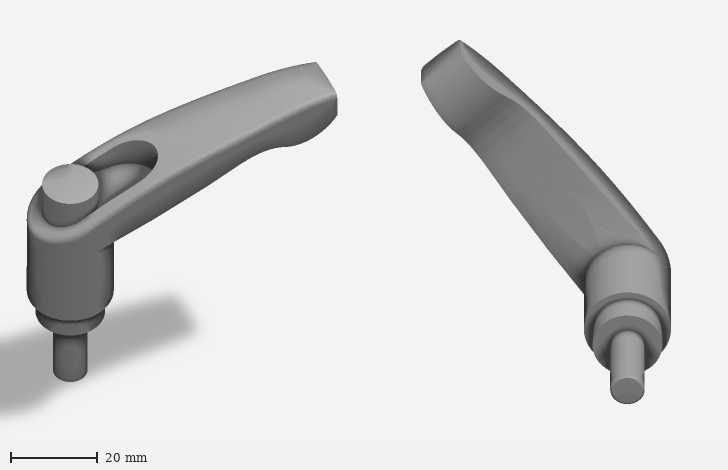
import cadquery as cq

HUB_DIAMETER = 20.0
HUB_RADIUS = HUB_DIAMETER / 2
COLLAR_RADIUS = 8.0
STUD_RADIUS = 4.0
BUTTON_DIAMETER = 13.0
BUTTON_RADIUS = BUTTON_DIAMETER / 2
COLLAR_BOTTOM = 19.7
HUB_BOTTOM = 26.55
ARM_ROOT_Z = 47.15
STUD_CHAMFER = 0.5

BUTTON_EDGE_Z = 61.0
BUTTON_TOP_Z = 61.55

OVERALL_LENGTH = 75
TIP_Y = OVERALL_LENGTH - HUB_RADIUS
TIP_HALF_WIDTH = 6.15
TIP_BOW = 0.2
TIP_TOP_Z = 68.7
TIP_BOTTOM_Z = 62.1
CREST_START_Y = 51.8
CREST_START_Z = 68.75
CREST_Y = 57.7
CREST_Z = 69.1
HUB_FRONT_Z = 50.3
CLEAR_ABOVE_Z = CREST_Z + 3.75
EDGE_FILLET = 1.35
UNDERSIDE_EDGE_ROOT_Y = 2.25

SLOT_FLOOR_Z = 55.2
SLOT_END_Y = 21.7
SLOT_END_LENGTH = 7.95


def disc_stack(radius, bottom, top):
    return cq.Workplane("XY").workplane(offset=bottom).circle(radius).extrude(top - bottom)


def arm_plan():
    """Tapered outline seen from above, rounded around the hub."""
    side_y, side_half_width = 33.75, 8.85
    side_end = TIP_Y - TIP_BOW
    return (
        cq.Workplane("XY")
        .moveTo(-HUB_RADIUS, 0)
        .threePointArc((0, -HUB_RADIUS), (HUB_RADIUS, 0))
        .threePointArc((side_half_width, side_y), (TIP_HALF_WIDTH, side_end))
        .threePointArc((0, TIP_Y), (-TIP_HALF_WIDTH, side_end))
        .threePointArc((-side_half_width, side_y), (-HUB_RADIUS, 0))
        .close()
        .extrude(CLEAR_ABOVE_Z)
    )


def arm_profile():
    """Side outline: arched top, bulb under the tip and a hollow running down to the hub."""
    top_points = [(0, 55.3), (18.6, 62.75), (33.75, 66.1), (CREST_START_Y, CREST_START_Z)]
    bulb_bottom = (56.15, 57.5)
    bulb_end = (50.6, 58.7)
    underside_points = [(46.1, 59.8), (33.75, 56.8), (21.8, 52.55), (HUB_RADIUS, ARM_ROOT_Z)]
    return (
        cq.Workplane("YZ")
        .workplane(offset=-HUB_RADIUS)
        .moveTo(-HUB_RADIUS, HUB_FRONT_Z)
        .spline(top_points, includeCurrent=True)
        .threePointArc((CREST_Y, CREST_Z), (TIP_Y, TIP_TOP_Z))
        .lineTo(TIP_Y, TIP_BOTTOM_Z)
        .threePointArc(bulb_bottom, bulb_end)
        .spline(underside_points, includeCurrent=True)
        .lineTo(-HUB_RADIUS, ARM_ROOT_Z)
        .close()
        .extrude(2 * HUB_RADIUS)
    )


def underside_section(x, root_y, slope_points):
    """Slice at x of the space above the crowned underside, which starts to rise at root_y."""
    return (
        cq.Workplane("YZ")
        .workplane(offset=x)
        .moveTo(-HUB_RADIUS, ARM_ROOT_Z)
        .lineTo(root_y, ARM_ROOT_Z)
        .spline(slope_points, includeCurrent=True)
        .lineTo(TIP_Y, CLEAR_ABOVE_Z)
        .lineTo(-HUB_RADIUS, CLEAR_ABOVE_Z)
        .close()
        .wires()
        .val()
    )


def underside_crown():
    """Space above the underside, whose edges rise higher than its middle close to the hub."""
    hollow_end = [(33.75, 56.6), (TIP_Y, 52.5)]
    edge_points = [(HUB_RADIUS, 49.4), (21.8, 52.9)] + hollow_end
    middle_points = [(15, 49.4), (21.8, 52.4)] + hollow_end
    sections = [
        underside_section(-HUB_RADIUS, UNDERSIDE_EDGE_ROOT_Y, edge_points),
        underside_section(0, HUB_RADIUS, middle_points),
        underside_section(HUB_RADIUS, UNDERSIDE_EDGE_ROOT_Y, edge_points),
    ]
    return cq.Workplane(cq.Solid.makeLoft(sections))


def lever_arm():
    """Arm with its top rim rounded everywhere except across the tip."""
    arm = arm_plan().intersect(arm_profile())
    rim_start = cq.selectors.NearestToPointSelector((0, -HUB_RADIUS, HUB_FRONT_Z))
    arm = arm.edges(rim_start).fillet(EDGE_FILLET)
    return arm.intersect(underside_crown())


def clearance_slot():
    end_start = SLOT_END_Y - SLOT_END_LENGTH
    height = CREST_Z - SLOT_FLOOR_Z
    base = cq.Workplane("XY").workplane(offset=SLOT_FLOOR_Z)
    straight = base.center(0, end_start / 2).rect(2 * BUTTON_RADIUS, end_start).extrude(height)
    far_end = base.center(0, end_start).ellipse(BUTTON_RADIUS, SLOT_END_LENGTH).extrude(height)
    return straight.union(far_end)


def push_button():
    """Button revolved about the hub axis, starting inside the hub."""
    return (
        cq.Workplane("XZ")
        .moveTo(0, HUB_BOTTOM)
        .lineTo(BUTTON_RADIUS, HUB_BOTTOM)
        .lineTo(BUTTON_RADIUS, BUTTON_EDGE_Z)
        .spline([(0, BUTTON_TOP_Z)], tangents=[(-1, 0.2), (-1, 0)], includeCurrent=True)
        .close()
        .revolve(360, (0, 0, 0), (0, 1, 0))
    )


stud = disc_stack(STUD_RADIUS, 0, COLLAR_BOTTOM).faces("<Z").chamfer(STUD_CHAMFER)
collar = disc_stack(COLLAR_RADIUS, COLLAR_BOTTOM, HUB_BOTTOM)
hub = disc_stack(HUB_RADIUS, HUB_BOTTOM, ARM_ROOT_Z)
lever = lever_arm().union(hub).cut(clearance_slot())
result = lever.union(push_button()).union(collar).union(stud)